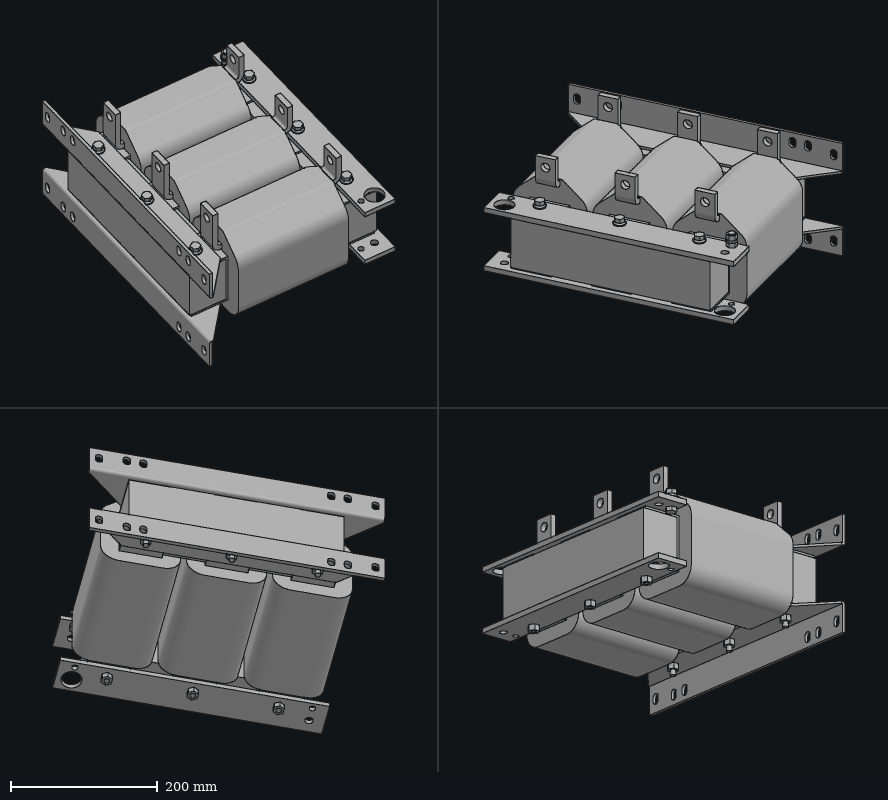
import cadquery as cq
import math


overall_width = 412.0
overall_depth = 316.0
overall_height = 201.5
phase_pitch = 120.0
phase_positions = [-phase_pitch, 0, phase_pitch]

foot_height = 45.7
foot_sheet = 5.0
foot_bend_radius = 4.5
foot_ledge_thickness = 3.7
foot_ledge_end = 55.2
foot_taper_start = 6.5
foot_slot_width = 10.0
foot_slot_length = 15.2
outer_slot = (193.0, 20.0)
inner_slots = [(154.0, 15.2), (131.0, 15.2)]

mid_z = 86.5
core_width = 300.0
core_height = 75.0
yoke_depth = 59.5
front_yoke_start = foot_sheet
rear_yoke_end = 310.5
leg_width = 59.7
leg_end_inset = 3.5
clamp_gap = mid_z - foot_height

coil_start = 67.5
coil_length = 180.0
coil_width = 111.5
coil_bottom = 24.7
coil_top = 165.0
coil_shoulder_z = 132.5
coil_top_flat = 35.5
coil_corner_radius = 25.0
coil_crown_radius = 7.0

rear_plate_width = 375.7
rear_plate_depth = 50.0
rear_plate_thickness = 8.0
rear_hole_x = 165.5
mounting_hole_y = 296.5
mounting_hole_diameter = 10.7
large_hole_diameter = 28.5
earth_hole_y = 275.0
earth_hole_diameter = 8.2

terminal_width = 30.0
terminal_thickness = 8.5
terminal_bend_radius = 4.0
terminal_hole_diameter = 13.0
terminal_hole_from_top = 15.2
front_terminal_face = 52.7
front_terminal_top = 199.0
front_terminal_bottom = 129.8
rear_terminal_face = 263.0
rear_terminal_bottom = 154.5

bolt_diameter = 8.0
washer_diameter = 17.5
washer_thickness = 1.5
collar_diameter = 19.0
collar_height = 2.5
head_across_flats = 13.0
head_height = 6.0
nut_across_corners = 16.0
nut_height = 8.5
front_bolt_end = 25.5
rear_bolt_end = 29.0

earth_nut_height = 7.5
earth_washer_diameter = 16.5
earth_washer_thickness = 3.7
earth_tip_diameter = 10.7
earth_tip_height = 1.5
earth_lower_nut_height = 6.0

clamp_top = mid_z + clamp_gap
clamp_bottom = mid_z - clamp_gap
coil_end = coil_start + coil_length
rear_plate_start = overall_depth - rear_plate_depth
front_bolt_y = front_yoke_start + yoke_depth / 2
rear_bolt_y = rear_yoke_end - yoke_depth / 2


def block(x_size, y_start, y_end, z_start, z_end, x_center=0.0):
    """Box centred on x_center, spanning the given Y and Z ranges."""
    center = (x_center, (y_start + y_end) / 2, (z_start + z_end) / 2)
    return cq.Workplane("XY").box(x_size, y_end - y_start, z_end - z_start).translate(center)


def rod(x, y, z_start, height, diameter):
    """Upright cylinder."""
    return cq.Workplane("XY", origin=(x, y, z_start)).circle(diameter / 2).extrude(height)


def hexagon(x, y, z_start, height, across_corners, turn=0.0):
    """Upright hexagonal prism; with no turn its corners point along X."""
    prism = cq.Workplane("XY").polygon(6, across_corners).extrude(height)
    return prism.rotate((0, 0, 0), (0, 0, 1), turn).translate((x, y, z_start))


def mirrored_below(body):
    """Copy of a body reflected in the core's mid-height plane."""
    return body.mirror("XY", (0, 0, mid_z))


def make_core():
    """Front and rear yokes joined by one leg per phase."""
    z_low = mid_z - core_height / 2
    z_high = mid_z + core_height / 2
    core = block(core_width, front_yoke_start, front_yoke_start + yoke_depth, z_low, z_high)
    core = core.union(block(core_width, rear_yoke_end - yoke_depth, rear_yoke_end, z_low, z_high))
    leg_start = front_yoke_start + leg_end_inset
    leg_end = rear_yoke_end - leg_end_inset
    for x in phase_positions:
        core = core.union(block(leg_width, leg_start, leg_end, clamp_bottom, clamp_top, x))
    return core


def make_coil(x):
    """Rounded winding with sloping upper shoulders and a flat crown."""
    half = coil_width / 2
    outline = [
        (-half, coil_bottom),
        (half, coil_bottom),
        (half, coil_shoulder_z),
        (coil_top_flat / 2, coil_top),
        (-coil_top_flat / 2, coil_top),
        (-half, coil_shoulder_z),
    ]
    coil = cq.Workplane("XZ").polyline(outline).close().extrude(-coil_length)
    coil = coil.edges("|Y and (<X or >X)").fillet(coil_corner_radius)
    coil = coil.faces(">Z").edges("|Y").fillet(coil_crown_radius)
    return coil.translate((x, coil_start, 0))


def make_lower_foot():
    """Folded bracket: slotted upright flange and a tapered ledge under the core."""
    flange = block(overall_width, 0, foot_sheet, 0, foot_height)
    half = overall_width / 2
    half_back = core_width / 2
    ledge_outline = [
        (-half, foot_sheet / 2),
        (half, foot_sheet / 2),
        (half, foot_taper_start),
        (half_back, foot_ledge_end),
        (-half_back, foot_ledge_end),
        (-half, foot_taper_start),
    ]
    ledge = cq.Workplane("XY", origin=(0, 0, foot_height - foot_ledge_thickness))
    ledge = ledge.polyline(ledge_outline).close().extrude(foot_ledge_thickness)
    foot = flange.union(ledge).edges("|X and <Y and >Z").fillet(foot_bend_radius)
    slots = [(side * x, z) for side in (-1, 1) for x, z in [outer_slot] + inner_slots]
    cutter = cq.Workplane("XZ").pushPoints(slots)
    cutter = cutter.slot2D(foot_slot_length, foot_slot_width, 90).extrude(-foot_sheet)
    return foot.cut(cutter)


def make_rear_plate(z_start, large_hole_side):
    """Clamping plate with a large hole on one side (-1 or 1 along X) and a small one opposite."""
    plate = block(rear_plate_width, rear_plate_start, overall_depth, z_start, z_start + rear_plate_thickness)
    for side in (-1, 1):
        x = side * rear_hole_x
        diameter = large_hole_diameter if side == large_hole_side else mounting_hole_diameter
        plate = plate.cut(rod(x, mounting_hole_y, z_start, rear_plate_thickness, diameter))
        plate = plate.cut(rod(x, earth_hole_y, z_start, rear_plate_thickness, earth_hole_diameter))
    return plate


def make_terminal(x, outer_y, coil_y, bottom, top):
    """Upright bar whose outer face is at outer_y, bent to run into the coil end at coil_y."""
    toward_coil = math.copysign(1, coil_y - outer_y)
    inner_y = outer_y + toward_coil * terminal_thickness
    outer_radius = terminal_bend_radius + terminal_thickness
    bend_y = outer_y + toward_coil * outer_radius
    bend_z = bottom + outer_radius
    diagonal = math.sqrt(0.5)

    def on_bend(radius):
        return (bend_y - toward_coil * radius * diagonal, bend_z - radius * diagonal)

    profile = (
        cq.Workplane("YZ", origin=(x, 0, 0))
        .moveTo(outer_y, top)
        .lineTo(outer_y, bend_z)
        .threePointArc(on_bend(outer_radius), (bend_y, bottom))
        .lineTo(coil_y, bottom)
        .lineTo(coil_y, bottom + terminal_thickness)
        .lineTo(bend_y, bottom + terminal_thickness)
        .threePointArc(on_bend(terminal_bend_radius), (inner_y, bend_z))
        .lineTo(inner_y, top)
        .close()
    )
    bar = profile.extrude(terminal_width / 2, both=True)
    hole = cq.Workplane("XZ", origin=(x, outer_y, top - terminal_hole_from_top))
    hole = hole.circle(terminal_hole_diameter / 2).extrude(terminal_thickness, both=True)
    return bar.cut(hole)


def make_bolt(x, y, seat_top, seat_bottom, end_z):
    """Through bolt with washer, flanged hexagon head and a nut underneath."""
    collar_z = seat_top + washer_thickness
    head_z = collar_z + collar_height
    head_corners = head_across_flats / math.cos(math.pi / 6)
    bolt = rod(x, y, end_z, head_z - end_z, bolt_diameter)
    bolt = bolt.union(rod(x, y, seat_top, washer_thickness, washer_diameter))
    collar = cq.Workplane("XY", origin=(x, y, collar_z)).circle(collar_diameter / 2)
    collar = collar.workplane(offset=collar_height).circle(head_across_flats / 2).loft()
    bolt = bolt.union(collar)
    bolt = bolt.union(hexagon(x, y, head_z, head_height, head_corners))
    return bolt.union(hexagon(x, y, seat_bottom - nut_height, nut_height, nut_across_corners, turn=30))


def make_earth_stud(plate_bottom, plate_top):
    """Stud with one nut below the rear plate and two nuts clamping a washer above it."""
    x, y = -rear_hole_x, earth_hole_y
    washer_z = plate_top + earth_nut_height
    upper_nut_z = washer_z + earth_washer_thickness
    tip_z = upper_nut_z + earth_nut_height
    stud_bottom = plate_bottom - earth_lower_nut_height
    stud = rod(x, y, stud_bottom, tip_z - stud_bottom, earth_hole_diameter)
    stud = stud.union(hexagon(x, y, stud_bottom, earth_lower_nut_height, nut_across_corners, turn=30))
    stud = stud.union(hexagon(x, y, plate_top, earth_nut_height, nut_across_corners, turn=30))
    stud = stud.union(rod(x, y, washer_z, earth_washer_thickness, earth_washer_diameter))
    stud = stud.union(hexagon(x, y, upper_nut_z, earth_nut_height, nut_across_corners, turn=30))
    return stud.union(rod(x, y, tip_z, earth_tip_height, earth_tip_diameter))


lower_foot = make_lower_foot()
rear_plate_top = clamp_top + rear_plate_thickness
rear_plate_bottom = clamp_bottom - rear_plate_thickness

result = make_core()
result = result.union(lower_foot).union(mirrored_below(lower_foot))
result = result.union(make_rear_plate(clamp_top, large_hole_side=1))
result = result.union(make_rear_plate(rear_plate_bottom, large_hole_side=-1))

for phase_x in phase_positions:
    result = result.union(make_coil(phase_x))
    result = result.union(make_terminal(
        phase_x, front_terminal_face, coil_start, front_terminal_bottom, front_terminal_top))
    result = result.union(make_terminal(
        phase_x, rear_terminal_face, coil_end, rear_terminal_bottom, overall_height))
    result = result.union(make_bolt(
        phase_x, front_bolt_y, clamp_top + foot_ledge_thickness,
        clamp_bottom - foot_ledge_thickness, front_bolt_end))
    result = result.union(make_bolt(phase_x, rear_bolt_y, rear_plate_top, rear_plate_bottom, rear_bolt_end))

result = result.union(make_earth_stud(clamp_top, rear_plate_top))